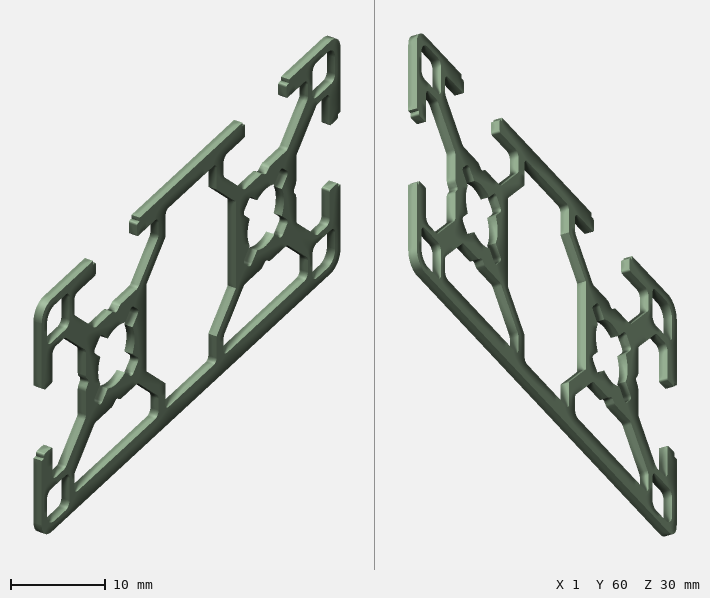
import cadquery as cq

length = 60.0
height = 30.0
thickness = 1.0
outer_radius = 2.0

wall = 2.15

core_half = 6.1
slot_half_width = 8.45
slot_shoulder = 10.25
slot_radius = 0.7

mouth_half_width = 4.15
step_width = 0.55
step_depth = 0.5
lip_round = 0.25

groove_half_width = 0.8
groove_depth = 0.6
groove_edge_radius = 0.7
groove_bottom_radius = 0.35

bore_radius = 3.65
arm_width = 2.1
arm_reach = 5.45
arm_radius = 0.5

middle_half_width = 5.1
bulge_half_width = 9.0
middle_shoulder = 9.5
middle_radius = 0.55

corner_wall = 1.1
corner_size = 4.5
corner_outer_radius = 1.5
corner_inner_radius = 0.8

core_offset = length / 4
half_height = height / 2
ceiling = half_height - wall
slot_base_half_width = slot_half_width - (slot_shoulder - core_half)
groove_top_half_width = slot_base_half_width / 2
bulge_shoulder = middle_shoulder - (bulge_half_width - middle_half_width)


def prism(outline):
    """Extrude a closed YZ outline through the full thickness."""
    return outline.extrude(thickness / 2, both=True)


def polygon(points):
    """Extrude a closed outline of straight edges."""
    return prism(cq.Workplane("YZ").polyline(points).close())


def mirrored_in_y(points):
    """Complete a half outline with its mirror image across Y = 0."""
    return points + [(-y, z) for y, z in reversed(points)]


def box(width, tall, z_bottom):
    """Block centred on Y = 0 that starts at the given height."""
    return prism(cq.Workplane("YZ").center(0, z_bottom + tall / 2).rect(width, tall))


def turned(shape, angle):
    """Turn a shape about the X axis."""
    return shape.rotate((0, 0, 0), (1, 0, 0), angle)


def fillet_at(shape, y, z, radius):
    """Round the through edge nearest to a point."""
    nearest = cq.selectors.NearestToPointSelector((0, y, z))
    return shape.edges("|X").edges(nearest).fillet(radius)


def closed_slot():
    """Slot above a core at the origin, without a mouth."""
    cavity = polygon(mirrored_in_y([
        (slot_base_half_width, core_half),
        (slot_half_width, slot_shoulder),
        (slot_half_width, ceiling),
    ]))
    cavity = cavity.edges("|X").fillet(slot_radius)
    bottom = (0, core_half - groove_depth)
    groove = polygon([bottom] + mirrored_in_y([
        (groove_half_width, core_half),
        (groove_top_half_width, core_half),
        (groove_top_half_width, core_half + groove_depth),
    ]))
    groove = groove.edges("|X and <Z").fillet(groove_bottom_radius)
    for side in (-1, 1):
        groove = fillet_at(groove, side * groove_half_width, core_half, groove_edge_radius)
    return cavity.union(groove)


def open_slot():
    """Slot with a mouth between rounded lips, stepped at the outer face."""
    step_bottom = half_height - step_depth
    mouth = box(2 * mouth_half_width, half_height - slot_shoulder, slot_shoulder)
    step = box(2 * (mouth_half_width + step_width), step_depth, step_bottom)
    opened = closed_slot().union(mouth).union(step)
    for side in (-1, 1):
        for z in (ceiling, step_bottom):
            opened = fillet_at(opened, side * mouth_half_width, z, lip_round)
    return opened


def core_bore():
    """Round bore with four diagonal arms."""
    bore = prism(cq.Workplane("YZ").circle(bore_radius))
    arm = prism(cq.Workplane("YZ").rect(2 * arm_reach, arm_width))
    arm = arm.edges("|X").fillet(arm_radius)
    for angle in (45, 135):
        bore = bore.union(turned(arm, angle))
    return bore


def middle_chamber():
    """Chamber between the two cores, widest at mid height."""
    upper = mirrored_in_y([
        (bulge_half_width, bulge_shoulder),
        (middle_half_width, middle_shoulder),
        (middle_half_width, ceiling),
    ])
    lower = [(-y, -z) for y, z in upper]
    return polygon(upper + lower).edges("|X and (>Z or <Z)").fillet(middle_radius)


def corner_chamber():
    """Square chamber in the +Y +Z corner, rounder on its outer corner."""
    inset = corner_wall + corner_size / 2
    square = prism(
        cq.Workplane("YZ")
        .center(length / 2 - inset, half_height - inset)
        .rect(corner_size, corner_size)
    )
    square = square.edges("|X and (<Y or <Z)").fillet(corner_inner_radius)
    return fillet_at(square, length / 2, half_height, corner_outer_radius)


plate = prism(cq.Workplane("YZ").rect(length, height)).edges("|X").fillet(outer_radius)
plate = plate.cut(middle_chamber())

top_slot = open_slot()
bottom_slot = turned(closed_slot(), 180)
for side in (-1, 1):
    outer_slot = turned(top_slot, -90 * side)
    for cutter in (core_bore(), top_slot, outer_slot, bottom_slot):
        plate = plate.cut(cutter.translate((0, side * core_offset, 0)))

upper_chamber = corner_chamber()
for chamber in (upper_chamber, upper_chamber.mirror("XY")):
    plate = plate.cut(chamber).cut(chamber.mirror("XZ"))

result = plate